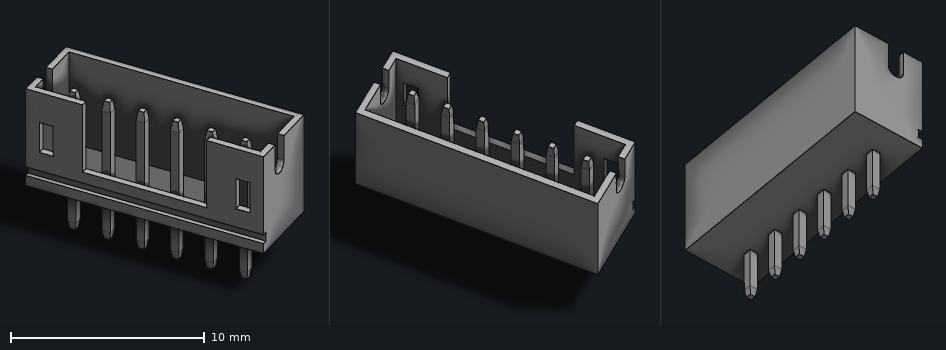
import cadquery as cq


length = 13.9
depth = 4.5
height = 5.99
wall = 0.39
floor_thickness = 0.4

opening_width = 7.24
opening_depth = 4.15

window_width = 0.8
window_height = 1.85
window_end_distance = 0.8
window_top_distance = 1.85

notch_width = 1.0
notch_depth = 2.0
notch_y = 1.77

groove_bottom = 0.63
groove_height = 0.54
groove_depth = 0.26

pin_count = 6
pin_pitch = 2.0
pin_width = 0.5
pin_end_width = 0.33
pin_y = 1.7
pin_tail_length = 3.0
pin_top_recess = 0.5
upper_taper = 0.6
lower_taper = 0.5


def block(x_size, y_size, z_size, x_center, y_start, z_start):
    """Box centred in X on x_center, growing in +Y and +Z from its start values."""
    return (
        cq.Workplane("XY")
        .box(x_size, y_size, z_size, centered=(True, False, False))
        .translate((x_center, y_start, z_start))
    )


def make_housing():
    """Open-topped box with a thin floor."""
    shell = block(length, depth, height, 0, 0, 0)
    cavity = block(
        length - 2 * wall, depth - 2 * wall, height - floor_thickness, 0, wall, floor_thickness
    )
    return shell.cut(cavity)


def cut_front_wall(body):
    """Central opening, two latch windows and the long groove."""
    body = body.cut(block(opening_width, wall, opening_depth, 0, 0, height - opening_depth))
    window_x = length / 2 - window_end_distance - window_width / 2
    window_z = height - window_top_distance - window_height
    for side in (-1, 1):
        body = body.cut(block(window_width, wall, window_height, side * window_x, 0, window_z))
    return body.cut(block(length, groove_depth, groove_height, 0, 0, groove_bottom))


def cut_end_notches(body):
    """One U-shaped cutter along X notches both end walls."""
    radius = notch_width / 2
    arc_z = height - notch_depth + radius
    cutter = (
        cq.Workplane("YZ", origin=(-length / 2, 0, 0))
        .moveTo(notch_y - radius, height)
        .lineTo(notch_y - radius, arc_z)
        .threePointArc((notch_y, arc_z - radius), (notch_y + radius, arc_z))
        .lineTo(notch_y + radius, height)
        .close()
        .extrude(length)
    )
    return body.cut(cutter)


def make_pin(x):
    """Square pin through the floor, tapered on all four sides at both ends."""
    shank_bottom = lower_taper - pin_tail_length
    shank_top = height - pin_top_recess - upper_taper
    shank = block(pin_width, pin_width, shank_top - shank_bottom, x, pin_y - pin_width / 2, shank_bottom)

    def tapered_end(z, taper):
        return (
            cq.Workplane("XY", origin=(x, pin_y, z))
            .rect(pin_width, pin_width)
            .workplane(offset=taper)
            .rect(pin_end_width, pin_end_width)
            .loft(ruled=True)
        )

    upper_end = tapered_end(shank_top, upper_taper)
    lower_end = tapered_end(shank_bottom, -lower_taper)
    return shank.union(upper_end).union(lower_end)


result = cut_end_notches(cut_front_wall(make_housing()))
for index in range(pin_count):
    result = result.union(make_pin((index - (pin_count - 1) / 2) * pin_pitch))